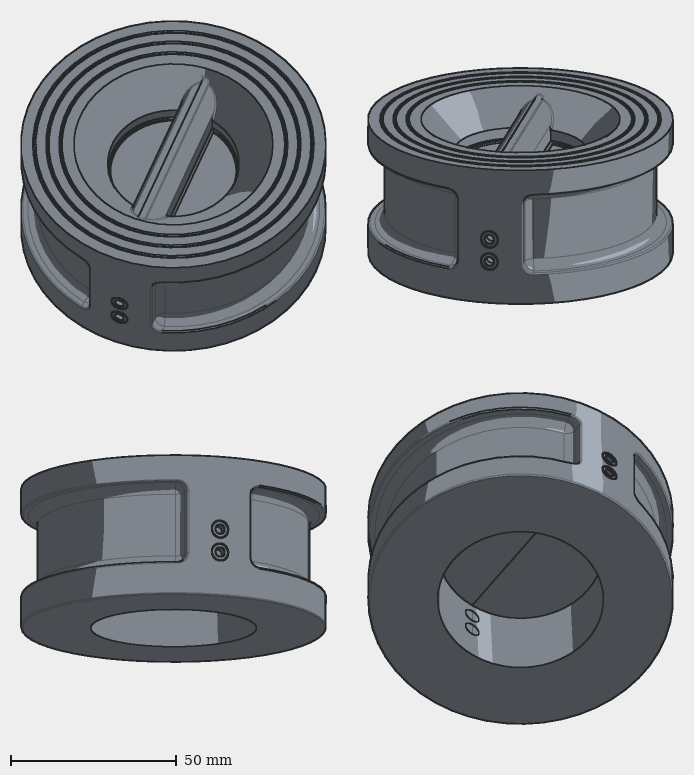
import cadquery as cq
import math


outer_radius = 46.0
height = 43.0
bottom_fillet = 0.5

funnel_top_radius = 30.0
throat_top_radius = 19.8
throat_bottom_radius = 19.6
funnel_depth = 9.75
seat_depth = 13.0

bridge_half_width = 5.4
arch_radius = 5.15
arch_center_depth = 8.1
nose_radius = 1.0
nose_tip_depth = 1.8
nose_fillet = 0.4
bridge_fillet = 0.5

chamber_radius = 50.0 / 2
seal_thickness = 1.0
seal_lip = 0.6
seal_lip_fillet = 0.4
disc_thickness = 3.0

groove_half_width = 0.5
groove_depth = 0.3
groove_spacing = 4.0
middle_groove_position = 38.0

web_half_width = 10.0
pocket_floor_radius = 41.0
pocket_top_depth = 8.0
pocket_bottom_z = 10.0
pocket_fillet = 2.9
rim_fillet = 0.5

plug_radius = 5.0 / 2
bore_countersink = 0.3
plug_heights = (13.4, 20.5)
socket_mouth_radius = 3.0 / 2
socket_chamfer = 0.2
socket_depth = 2.8
socket_tip_angle = 118.0

throat_top_z = height - funnel_depth
seat_z = height - seat_depth
seal_bottom_z = seat_z - seal_thickness
disc_bottom_z = seal_bottom_z - disc_thickness
arch_z = height - arch_center_depth
nose_z = height - nose_tip_depth - nose_radius
pocket_top_z = height - pocket_top_depth
plug_length = outer_radius - chamber_radius
cutter_reach = 1.2 * outer_radius
tolerance = 0.01


def make_cylinder(radius, bottom, top):
    return cq.Workplane("XY").workplane(offset=bottom).circle(radius).extrude(top - bottom)


def revolve_about_z(profile):
    """Turn a closed XZ profile around the flow axis."""
    return profile.close().revolve(360, (0, 0), (0, 1))



def make_funnel():
    """Conical inlet and slightly tapered throat, from the top face down to the seat."""
    return revolve_about_z(
        cq.Workplane("XZ")
        .moveTo(0, seat_z)
        .lineTo(throat_bottom_radius, seat_z)
        .lineTo(throat_top_radius, throat_top_z)
        .lineTo(funnel_top_radius, height)
        .lineTo(0, height)
    )


def make_bridge():
    """Bar along Y that divides the throat into two D-shaped windows."""
    bar = (
        cq.Workplane("XZ")
        .moveTo(-bridge_half_width, seat_z)
        .lineTo(-arch_radius, arch_z)
        .threePointArc((0, arch_z + arch_radius), (arch_radius, arch_z))
        .lineTo(bridge_half_width, seat_z)
        .close()
        .extrude(outer_radius, both=True)
    )
    nose = cq.Workplane("XZ").center(0, nose_z).circle(nose_radius).extrude(outer_radius, both=True)
    bridge = bar.union(nose)

    def at_nose_foot(edge):
        middle = edge.Center()
        return middle.z > arch_z + tolerance and abs(middle.x) < nose_radius + tolerance

    nose_feet = [edge for edge in bridge.edges("|Y").vals() if at_nose_foot(edge)]
    return bridge.newObject(nose_feet).fillet(nose_fillet)


def make_passage():
    """Funnel around the bridge, with a fillet where the bridge runs into the cone."""
    passage = make_funnel().cut(make_bridge())

    def joins_bridge_and_cone(edge):
        middle = edge.positionAt(0.5)
        on_bridge = abs(middle.x) < bridge_half_width
        at_bridge_end = abs(middle.y) > throat_top_radius / 2
        return on_bridge and at_bridge_end and middle.z > throat_top_z + tolerance

    joints = [edge for edge in passage.edges().vals() if joins_bridge_and_cone(edge)]
    return passage.newObject(joints).fillet(bridge_fillet)


def make_pocket():
    """C-shaped cutter for the pocket on the +X side, with rounded inner corners."""
    block = (
        cq.Workplane("XY")
        .box(cutter_reach, 2 * cutter_reach, pocket_top_z - pocket_bottom_z, centered=(False, True, False))
        .translate((web_half_width, 0, pocket_bottom_z))
    )
    cutter = block.cut(make_cylinder(pocket_floor_radius, 0, height))
    wall_edges = [
        edge for edge in cutter.faces("<X").edges().vals()
        if abs(edge.Center().y) < cutter_reach - tolerance
    ]
    floor_edges = cutter.edges("%CIRCLE").vals()
    return cutter.newObject(wall_edges + floor_edges).fillet(pocket_fillet)


def round_pocket_rims(body):
    """Round the edges where the pockets break through the outer wall."""
    def on_rim(edge):
        middle = edge.positionAt(0.5)
        on_wall = abs(math.hypot(middle.x, middle.y) - outer_radius) < tolerance
        beside_pocket = pocket_bottom_z - tolerance < middle.z < pocket_top_z + tolerance
        return on_wall and beside_pocket

    rims = [edge for edge in body.edges().vals() if on_rim(edge)]
    return body.newObject(rims).fillet(rim_fillet)


def make_groove(position):
    """V-shaped ring groove in the top face."""
    return revolve_about_z(
        cq.Workplane("XZ")
        .moveTo(position - groove_half_width, height)
        .lineTo(position, height - groove_depth)
        .lineTo(position + groove_half_width, height)
    )


def make_plug_bore(plug_z):
    """Bore at the -Y side from the outer wall to the chamber, countersunk at its mouth."""
    return (
        cq.Workplane("XY", origin=(0, -outer_radius, plug_z))
        .lineTo(plug_radius + bore_countersink, 0)
        .lineTo(plug_radius, bore_countersink)
        .lineTo(plug_radius, plug_length)
        .lineTo(0, plug_length)
        .close()
        .revolve(360, (0, 0), (0, 1))
    )


def make_housing():
    body = make_cylinder(outer_radius, 0, height).faces("<Z").edges().fillet(bottom_fillet)
    pocket = make_pocket()
    body = round_pocket_rims(body.cut(pocket).cut(pocket.mirror("YZ")))
    body = body.cut(make_passage()).cut(make_cylinder(chamber_radius, 0, seat_z))
    for step in (-1, 0, 1):
        body = body.cut(make_groove(middle_groove_position + step * groove_spacing))
    for plug_z in plug_heights:
        bore = make_plug_bore(plug_z)
        body = body.cut(bore).cut(bore.mirror("XZ"))
    return body



def make_seal():
    """Flat ring under the seat; its two D-shaped windows have round lips that narrow the throat."""
    bar_width = 2 * (bridge_half_width + seal_lip)
    bar = cq.Workplane("XY").box(bar_width, 2 * outer_radius, 2 * height)
    windows = make_cylinder(throat_bottom_radius - seal_lip, seal_bottom_z, seat_z).cut(bar)
    seal = make_cylinder(chamber_radius, seal_bottom_z, seat_z).cut(windows)
    lip_edges = [edge for wire in seal.faces(">Z").val().innerWires() for edge in wire.Edges()]
    return seal.newObject(lip_edges).fillet(seal_lip_fillet)



def make_disc():
    """Half-round flap on the +X side, lying against the seal."""
    positive_x = cq.Workplane("XY").box(
        cutter_reach, 2 * cutter_reach, height, centered=(False, True, False)
    )
    return make_cylinder(chamber_radius, disc_bottom_z, seal_bottom_z).intersect(positive_x)



def make_socket(plug_z):
    """Blind drilled hole with a chamfered mouth, for the outer end of a plug."""
    radius = socket_mouth_radius - socket_chamfer
    tip_depth = socket_depth + radius / math.tan(math.radians(socket_tip_angle / 2))
    return (
        cq.Workplane("XY", origin=(0, -outer_radius, plug_z))
        .lineTo(socket_mouth_radius, 0)
        .lineTo(radius, socket_chamfer)
        .lineTo(radius, socket_depth)
        .lineTo(0, tip_depth)
        .close()
        .revolve(360, (0, 0), (0, 1))
    )


def make_plug(plug_z):
    """Plug at the -Y side, flush with the outer wall and reaching the chamber."""
    plug = cq.Workplane("XZ", origin=(0, -chamber_radius, plug_z)).circle(plug_radius).extrude(plug_length)
    return plug.cut(make_socket(plug_z))


housing = make_housing()
seal = make_seal()
right_disc = make_disc()
left_disc = right_disc.mirror("YZ")

plugs = []
for plug_z in plug_heights:
    plug = make_plug(plug_z)
    plugs += [plug, plug.mirror("XZ")]

bodies = [housing, seal, right_disc, left_disc, *plugs]
result = cq.Compound.makeCompound([body.solids().val() for body in bodies])